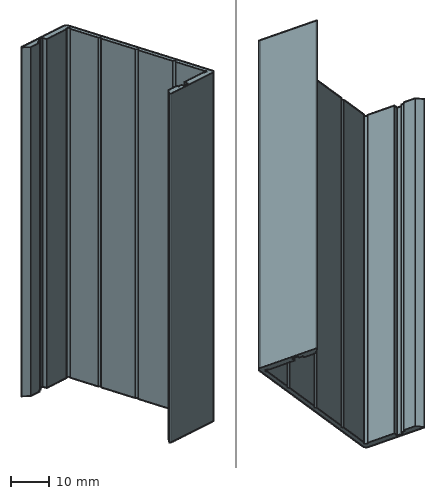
import cadquery as cq

width = 50.0
depth = 19.1
length = 100.0

web_thickness = 1.5
leg_thickness = 2.0
outer_radius = 1.0

tip_radius = 0.3

slot_start = 10.7
slot_floor_end = 12.5
slot_end = 13.7
slot_floor_thickness = 0.7
slot_step_thickness = 1.4

relief_radius = 0.5
relief_offset = 0.2

groove_count = 3
groove_pitch = width / 4
groove_width = 1.0
groove_depth = groove_width / 2

back = depth / 2
front = -depth / 2
web_inside = back - web_thickness
leg_inside = width / 2 - leg_thickness


def make_channel():
    """U-channel with rounded outer edges, its length along Z and its open side toward -Y."""
    outer = cq.Workplane("XY").box(width, depth, length)
    outer = outer.edges("|Z and >Y").fillet(outer_radius)
    outer = outer.edges("|Z and <Y").fillet(tip_radius)
    inner = (
        cq.Workplane("XY")
        .box(2 * leg_inside, depth, length)
        .translate((0, -web_thickness, 0))
    )
    return outer.cut(inner)


def extrude_cutter(points):
    """Full-length cutter with a polygonal section."""
    return cq.Workplane("XY").workplane(offset=-length / 2).polyline(points).close().extrude(length)


def make_slot():
    """Slot in the +X leg: a deep part followed by a shallower step."""
    floor_x = width / 2 - slot_floor_thickness
    step_x = width / 2 - slot_step_thickness
    return extrude_cutter([
        (leg_inside, back - slot_start),
        (floor_x, back - slot_start),
        (floor_x, back - slot_floor_end),
        (step_x, back - slot_floor_end),
        (step_x, back - slot_end),
        (leg_inside, back - slot_end),
    ])


def make_inner_bevel():
    """45 degree bevel on the inside of the +X leg's free end, meeting its rounded edge."""
    bevel = leg_thickness - tip_radius
    return extrude_cutter([
        (leg_inside, front),
        (leg_inside + bevel, front),
        (leg_inside, front + bevel),
    ])


def make_corner_relief():
    """Round relief where the +X leg meets the web."""
    return (
        cq.Workplane("XY")
        .workplane(offset=-length / 2)
        .center(leg_inside - relief_offset, web_inside - relief_offset)
        .circle(relief_radius)
        .extrude(length)
    )


def make_groove(x):
    """V-groove in the web, centred at x."""
    return extrude_cutter([
        (x - groove_width / 2, web_inside),
        (x, web_inside + groove_depth),
        (x + groove_width / 2, web_inside),
    ])


result = make_channel()

for cutter in (make_slot(), make_inner_bevel(), make_corner_relief()):
    result = result.cut(cutter).cut(cutter.mirror("YZ"))

for index in range(groove_count):
    groove_x = (index - (groove_count - 1) / 2) * groove_pitch
    result = result.cut(make_groove(groove_x))